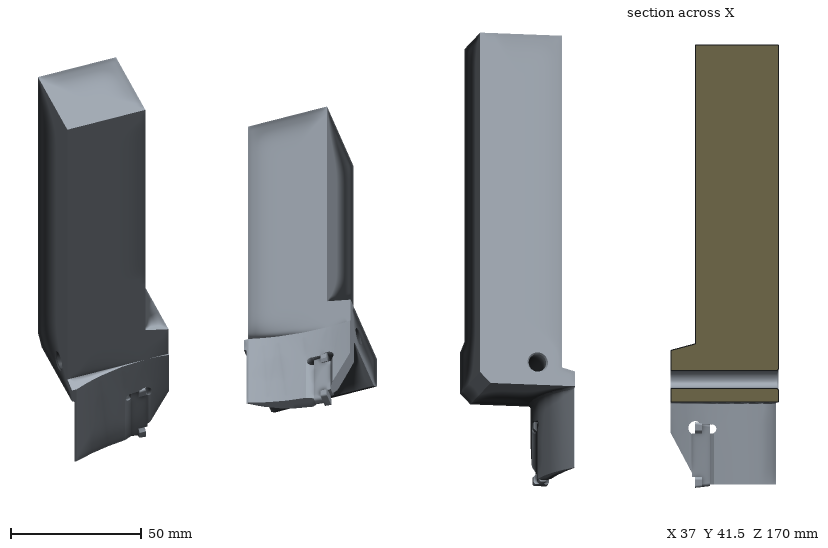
import cadquery as cq
import math

total_height = 170.0
shank_width = 32.0
head_width = 37.0
head_depth = 41.5
head_bottom = 33.0
head_back_top = 52.9
head_side_top = 38.8
shoulder_slope = math.tan(math.radians(15))
corner_chamfer = 4.0

screw_hole_diameter = 6.8
screw_hole_mouth = 8.0
screw_hole_x = 22.5
screw_hole_z = 41.6

blade_bottom = 1.4
blade_front = 1.0
blade_side = 26.7
inner_radius = 52.0
outer_radius = 91.3
relief_top = 21.2
relief_slope = math.tan(math.radians(28))
root_fillet = 0.8

edge_y = shank_width
insert_length = 25.2
insert_base = 26.3
insert_back = 33.1
end_clearance = 0.7
cutter_width = 6.0
cutter_side = 26.5
cutter_base = 29.4
cutter_length = 4.2
cutter_corner = 0.8
cutter_rear_chamfer = 1.0
insert_body_width = 3.2
insert_body_corner = 1.2
insert_middle_x = cutter_side + cutter_width / 2
insert_middle_z = insert_length / 2

seat_top = insert_length - end_clearance
seat_base_flare = 3.0
seat_back_flare = 1.5
tip_relief_diameter = 5.3
tip_relief_z = 23.0
base_relief_diameter = 3.5
base_relief_y = 25.7
base_relief_z = 22.6


def prism_along_x(points, x_start, length):
    """Extrude a (Y, Z) outline along +X."""
    return cq.Workplane("YZ").workplane(offset=x_start).polyline(points).close().extrude(length)


def arc_x(y, side, radius):
    """X on an arc that bulges toward -X and reaches x = side at y = edge_y."""
    return side + radius - math.sqrt(radius ** 2 - (y - edge_y) ** 2)


def arc_y(x, side, radius):
    """Front Y where the same kind of arc reaches the given X."""
    return edge_y - math.sqrt(radius ** 2 - (radius + side - x) ** 2)


def make_shank_and_head():
    side_shoulder_top = head_side_top + (head_width - shank_width) * shoulder_slope
    back_shoulder_top = head_back_top + (head_depth - shank_width) * shoulder_slope
    front_outline = [
        (corner_chamfer, head_bottom),
        (head_width, head_bottom),
        (head_width, head_side_top),
        (shank_width, side_shoulder_top),
        (shank_width, total_height),
        (0, total_height),
        (0, head_bottom + corner_chamfer),
    ]
    side_outline = [
        (0, head_bottom),
        (head_depth, head_bottom),
        (head_depth, head_back_top),
        (shank_width, back_shoulder_top),
        (shank_width, total_height),
        (0, total_height),
    ]
    body = cq.Workplane("XZ").polyline(front_outline).close().extrude(-head_depth)
    body = body.intersect(prism_along_x(side_outline, 0, head_width))
    side_sweep = (
        cq.Workplane("XY")
        .center(shank_width + outer_radius, edge_y)
        .circle(outer_radius)
        .extrude(side_shoulder_top)
    )
    return body.cut(side_sweep)


def make_blade():
    outer_front = (head_width, arc_y(head_width, shank_width, outer_radius))
    outer_back = (arc_x(head_depth, shank_width, outer_radius), head_depth)
    inner_front = (arc_x(blade_front, blade_side, inner_radius), blade_front)
    inner_back = (arc_x(head_depth, blade_side, inner_radius), head_depth)
    blade = (
        cq.Workplane("XY")
        .workplane(offset=blade_bottom)
        .moveTo(head_width, blade_front)
        .lineTo(*inner_front)
        .threePointArc((blade_side, edge_y), inner_back)
        .lineTo(*outer_back)
        .threePointArc((shank_width, edge_y), outer_front)
        .close()
        .extrude(head_bottom - blade_bottom)
    )
    relief = [
        (head_depth, relief_top),
        (head_depth - relief_top * relief_slope, 0),
        (head_depth, 0),
    ]
    return blade.cut(prism_along_x(relief, 0, head_width))


def make_seat_cutter():
    """Slot with flared sides, with a round relief at each corner of its blind end."""
    flare_depth = (cutter_width - insert_body_width) / 2
    left = insert_middle_x - insert_body_width / 2
    right = insert_middle_x + insert_body_width / 2
    outline = [
        (left - flare_depth, insert_base - seat_base_flare),
        (left, insert_base),
        (right, insert_base),
        (right + flare_depth, insert_base - seat_base_flare),
        (right + flare_depth, insert_back + seat_back_flare),
        (right, insert_back),
        (left, insert_back),
        (left - flare_depth, insert_back + seat_back_flare),
    ]
    slot = cq.Workplane("XY").polyline(outline).close().extrude(base_relief_z)
    blind_end = [
        (insert_base, base_relief_z),
        (edge_y, base_relief_z),
        (edge_y, seat_top),
        (insert_base, seat_top),
    ]
    slot = slot.union(prism_along_x(blind_end, 0, head_width))
    reliefs = [
        (edge_y, tip_relief_z, tip_relief_diameter),
        (base_relief_y, base_relief_z, base_relief_diameter),
    ]
    for y, z, diameter in reliefs:
        slot = slot.union(cq.Workplane("YZ").center(y, z).circle(diameter / 2).extrude(head_width))
    return slot


def make_screw_hole():
    """Through hole along Y with a 45 degree countersink at the front."""
    hole_radius = screw_hole_diameter / 2
    mouth_radius = screw_hole_mouth / 2
    axis_start = cq.Vector(screw_hole_x, 0, screw_hole_z)
    along_y = cq.Vector(0, 1, 0)
    hole = cq.Solid.makeCylinder(hole_radius, head_depth, axis_start, along_y)
    mouth = cq.Solid.makeCone(mouth_radius, hole_radius, mouth_radius - hole_radius, axis_start, along_y)
    return cq.Workplane(hole).union(cq.Workplane(mouth))


def make_holder(insert):
    holder = make_shank_and_head().union(make_blade())
    selection_margin = root_fillet / 5
    root_edges = cq.selectors.BoxSelector(
        (blade_side, selection_margin, head_bottom - selection_margin),
        (head_width, head_depth - selection_margin, head_bottom + selection_margin),
    )
    holder = holder.edges(root_edges).fillet(root_fillet)
    return holder.cut(make_screw_hole()).cut(make_seat_cutter()).cut(insert)


def round_end_corners(block, end, radius):
    """Round the two side corners where an end face meets the flat sides."""
    return block.faces(end).edges("<X or >X").fillet(radius)


def make_insert():
    body_outline = [
        (insert_base, end_clearance),
        (edge_y, 0),
        (edge_y, cutter_length),
        (insert_back, cutter_length),
        (insert_back, insert_length - cutter_length),
        (edge_y, insert_length - cutter_length),
        (edge_y, insert_length),
        (insert_base, insert_length - end_clearance),
    ]
    insert = prism_along_x(body_outline, insert_middle_x - insert_body_width / 2, insert_body_width)
    insert = round_end_corners(insert, "<Z", insert_body_corner)
    insert = round_end_corners(insert, ">Z", insert_body_corner)
    lean = end_clearance * (edge_y - cutter_base) / (edge_y - insert_base)
    cutter_outline = [
        (cutter_base, lean),
        (edge_y, 0),
        (edge_y, cutter_length),
        (cutter_base, cutter_length),
    ]
    lower_cutter = prism_along_x(cutter_outline, cutter_side, cutter_width)
    lower_cutter = round_end_corners(lower_cutter, "<Z", cutter_corner)
    lower_cutter = lower_cutter.faces(">Z").edges("<X or >X").chamfer(cutter_rear_chamfer)
    upper_cutter = lower_cutter.mirror("XY", (0, 0, insert_middle_z))
    return insert.union(lower_cutter).union(upper_cutter)


insert = make_insert()
holder = make_holder(insert)
result = cq.Compound.makeCompound([holder.val(), insert.val()])